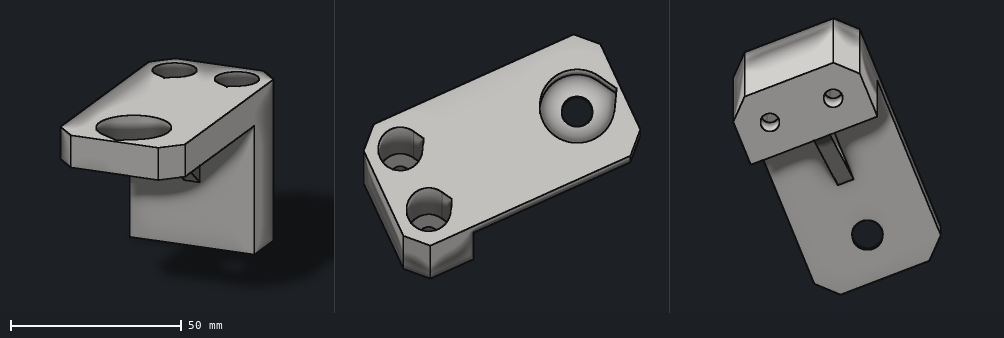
import cadquery as cq
import math

width = 40.0
length = 76.5
height = 50.0
plate_thickness = 10.0
leg_depth = 20.0
corner_chamfer = 6.0

rib_width = 5.0
rib_reach = 25.25
rib_drop = 20.0

small_hole_diameter = 5.5
small_pocket_diameter = 13.0
small_hole_spacing = 20.0
small_hole_back_inset = 10.0
small_pocket_floor = 10.0

large_hole_diameter = 9.0
large_pocket_diameter = 22.0
large_hole_front_inset = 14.0
large_pocket_depth = 8.0

teardrop_half_angle = math.radians(60)

back_y = length / 2
front_y = -length / 2
leg_front_y = back_y - leg_depth
plate_bottom_z = height - plate_thickness


def bracket_body():
    """Horizontal plate on a thick leg, with all four outer corners cut."""
    plate = cq.Workplane("XY").box(width, length, height)
    plate = plate.edges("|Z").chamfer(corner_chamfer).translate((0, 0, height / 2))
    space_under_plate = cq.Workplane("XY").box(
        width, length - leg_depth, plate_bottom_z, centered=(True, False, False)
    )
    return plate.cut(space_under_plate.translate((0, front_y, 0)))


def rib():
    """Triangular rib between the leg and the underside of the plate."""
    return (
        cq.Workplane("YZ")
        .moveTo(leg_front_y, plate_bottom_z)
        .lineTo(leg_front_y - rib_reach, plate_bottom_z)
        .lineTo(leg_front_y, plate_bottom_z - rib_drop)
        .close()
        .extrude(rib_width / 2, both=True)
    )


def teardrop_hole(x, y, hole_diameter, pocket_diameter, pocket_depth):
    """Through hole below a teardrop pocket whose tip points to the front."""
    radius = pocket_diameter / 2
    tangent_x = radius * math.cos(teardrop_half_angle)
    tangent_y = -radius * math.sin(teardrop_half_angle)
    tip_y = -radius / math.sin(teardrop_half_angle)
    pocket = (
        cq.Workplane("XY")
        .moveTo(tangent_x, tangent_y)
        .threePointArc((0, radius), (-tangent_x, tangent_y))
        .lineTo(0, tip_y)
        .close()
        .extrude(pocket_depth)
        .translate((x, y, height - pocket_depth))
    )
    hole = cq.Workplane("XY").center(x, y).circle(hole_diameter / 2).extrude(height)
    return pocket.union(hole)


result = bracket_body().union(rib())

for side in (-1, 1):
    result = result.cut(
        teardrop_hole(
            side * small_hole_spacing / 2,
            back_y - small_hole_back_inset,
            small_hole_diameter,
            small_pocket_diameter,
            height - small_pocket_floor,
        )
    )

result = result.cut(
    teardrop_hole(
        0,
        front_y + large_hole_front_inset,
        large_hole_diameter,
        large_pocket_diameter,
        large_pocket_depth,
    )
)